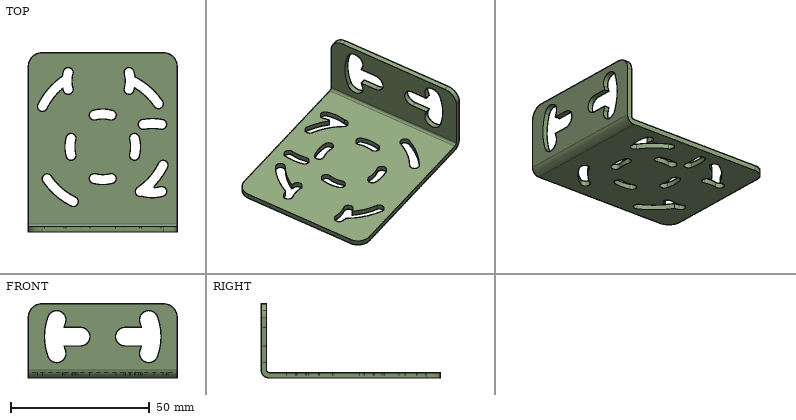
import cadquery as cq
import math

width = 54.0
depth = 65.0
height = 27.0
thickness = 2.0
inner_bend_radius = 1.0
outer_bend_radius = inner_bend_radius + thickness
corner_radius = 5.0

slot_width = 3.5
slot_half_angle = 15.0
center_ring_y = 30.9
center_ring_radius = 11.9
rear_ring_half_angle = 15.5
rear_ring_center = (-1.5, 54.7)
rear_ring_radius = 11.45
right_front_slot = ((18.0, 26.8), 12.55, 270, 15.5)
right_rear_slot = ((18.0, 22.4), 16.9, 90, 11.4)
large_ring_radius = 24.3
large_slot_pairs = [(32.9, 49.0), (34.85, 139.0)]
tip_position = (18.6, 16.6)
tip_radius = 0.3

flange_slot_width = 6.6
flange_slot_z = 15.0
flange_ring_radius = 17.75
flange_slot_half_angle = 20.0
straight_slot_end_x = 8.0


def polar(center, radius, angle):
    """Point at an angle in degrees on a circle."""
    a = math.radians(angle)
    return (center[0] + radius * math.cos(a), center[1] + radius * math.sin(a))


def arc_slot(plane, center, radius, direction, half_angle, breadth, length):
    """Cutter for a curved slot with rounded ends, extruded along the plane normal."""
    inner = radius - breadth / 2
    outer = radius + breadth / 2
    start = direction - half_angle
    end = direction + half_angle
    end_tip = polar(polar(center, radius, end), breadth / 2, end + 90)
    start_tip = polar(polar(center, radius, start), breadth / 2, start - 90)
    return (
        cq.Workplane(plane)
        .moveTo(*polar(center, outer, start))
        .threePointArc(polar(center, outer, direction), polar(center, outer, end))
        .threePointArc(end_tip, polar(center, inner, end))
        .threePointArc(polar(center, inner, direction), polar(center, inner, start))
        .threePointArc(start_tip, polar(center, outer, start))
        .close()
        .extrude(length)
    )


def bent_sheet():
    """L-shaped sheet with a rounded bend and rounded free corners."""
    sheet = (
        cq.Workplane("YZ")
        .polyline([(0, 0), (depth, 0), (depth, thickness), (thickness, thickness),
                   (thickness, height), (0, height)])
        .close()
        .extrude(width / 2, both=True)
    )
    inner_corner = cq.selectors.NearestToPointSelector((0, thickness, thickness))
    sheet = sheet.edges(inner_corner).fillet(inner_bend_radius)
    sheet = sheet.edges("|X and <Y and <Z").fillet(outer_bend_radius)
    sheet = sheet.edges("|Z and >Y").fillet(corner_radius)
    return sheet.faces(">Z").edges("|Y").fillet(corner_radius)


def cut_base_slots(body):
    """Cut the curved slots through the base."""
    center = (0, center_ring_y)
    slots = [(center, center_ring_radius, angle, slot_half_angle) for angle in (0, 90, 180, 270)]
    for angle in (0, 180):
        slots.append((rear_ring_center, rear_ring_radius, angle, rear_ring_half_angle))
    slots += [right_front_slot, right_rear_slot]
    for center_y, direction in large_slot_pairs:
        for angle in (direction, direction + 180):
            slots.append(((0, center_y), large_ring_radius, angle, slot_half_angle))
    for slot_center, radius, angle, half_angle in slots:
        body = body.cut(arc_slot("XY", slot_center, radius, angle, half_angle, slot_width, thickness))
    tip = cq.selectors.NearestToPointSelector((*tip_position, thickness / 2))
    return body.edges("|Z").edges(tip).fillet(tip_radius)


def cut_flange_slots(body):
    """Cut a curved slot with a straight inward branch on each side of the flange."""
    center = (0, flange_slot_z)
    for side, direction in ((1, 0), (-1, 180)):
        curved = arc_slot("XZ", center, flange_ring_radius, direction, flange_slot_half_angle,
                          flange_slot_width, -thickness)
        branch_length = flange_ring_radius - straight_slot_end_x + flange_slot_width
        branch_x = side * (straight_slot_end_x + flange_ring_radius) / 2
        branch = (
            cq.Workplane("XZ")
            .center(branch_x, flange_slot_z)
            .slot2D(branch_length, flange_slot_width)
            .extrude(-thickness)
        )
        body = body.cut(curved).cut(branch)
    return body


result = cut_flange_slots(cut_base_slots(bent_sheet()))